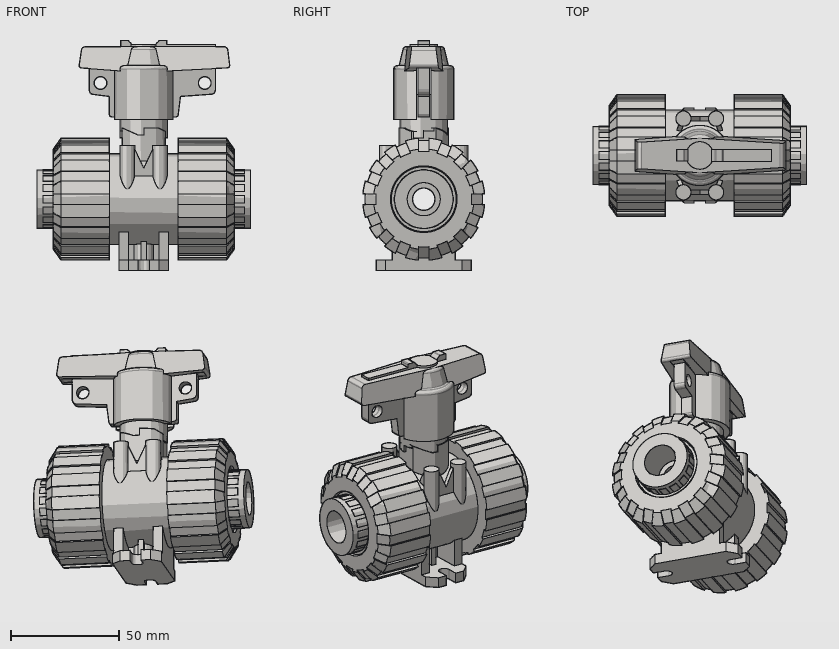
import cadquery as cq
import math


BIG = 212.3

BARREL_RADIUS = 21.0
BARREL_END = 31.9
FLOW_RADIUS = 5.1
CONNECTOR_BORE_RADIUS = 7.6
CONNECTOR_RADIUS = 13.5
CONNECTOR_END = 49.3
FLANGE_END = 37.2
SHOULDER_RADIUS = 15.0
SHOULDER_END = 40.8
RIB_HEIGHT = 0.16
RIB_END = 46.5
RIB_COUNT = 16
RIB_ANGLE = 15.0

NUT_START = 15.8
NUT_END = 41.8
NUT_CHAMFER_LENGTH = 3.6
NUT_CHAMFER_DEPTH = 5.1
NUT_RADIUS = 28.2
NUT_GROOVE_DEPTH = 1.1
NUT_GROOVE_WIDTH = 5.0
NUT_GROOVE_COUNT = 16
NUT_OPENING_RADIUS = 15.4

NECK_RADIUS = 11.5
NECK_FLAT = 10.0
NECK_TOP = 32.9
RAMP_BOTTOM = 29.7
RAMP_FOOT_X = 2.9
STOP_SHOULDER_X = 6.6
STOP_EDGE_Z = 31.3

POST_X = 7.5
POST_Y = 17.0
POST_RADIUS = 3.5
POST_TOP = 24.8
WEB_THICKNESS = 2.1
WEB_TOP = 22.8
WEB_NOTCH_Z = 14.3
GUSSET_LENGTH = 7.1
GUSSET_LEAN = 20.0

FOOT_BOTTOM = -32.9
FOOT_HEIGHT = 4.9
FOOT_HALF_X = 11.5
FOOT_HALF_Y = 22.0
FOOT_CORNER = 4.4
FOOT_SLOT_WIDTH = 5.2
FOOT_SLOT_CENTER_Y = 16.5
LEG_THICKNESS = 4.5
LEG_HALF_Y = 14.5
CROSS_RIB_THICKNESS = 2.4
CROSS_RIB_HALF_Y = 8.1
BOSS_RADIUS = 4.6

STEM_RADIUS = 11.0
STEM_BOTTOM = 28.3
STEM_NOTCH_Z = 31.5
STEM_TOP = 48.3
HUB_RADIUS = 13.9
HUB_BOTTOM = 36.7
HUB_TOP = 61.7
HUB_FILLET = 1.7
RIM_MARGIN = 0.1
HUB_SLOT_WIDTH = 6.5
HUB_SLOT_TOP = 60.5
CONE_BASE_RADIUS = 11.4
CONE_TOP_RADIUS = 9.3
CONE_FILLET = 1.7
CONE_BASE_FILLET = 0.7
BAR_TOP = 70.4
BAR_MIDDLE_BOTTOM = 59.1
BAR_END_BOTTOM = 60.6
BAR_BEND_X = 10.6
BAR_LEFT_TOP = -28.6
BAR_LEFT_BOTTOM = -30.3
BAR_RIGHT_TOP = 38.6
BAR_RIGHT_BOTTOM = 40.0
BAR_LEFT_HALF_WIDTH = 6.0
BAR_MIDDLE_HALF_WIDTH = 8.0
BAR_RIGHT_HALF_WIDTH = 5.5
BAR_SIDE_DRAFT = 1.5
BAR_END_FILLET = 1.9
BAR_UNDERSIDE_FILLET = 1.3
BLADE_THICKNESS = 5.3
BLADE_LEFT = -25.2
BLADE_RIGHT = 33.1
BLADE_EAR_BOTTOM = 48.5
BLADE_EAR_ROOT = 47.4
BLADE_BOTTOM = 37.9
BLADE_LEFT_ROOT = -15.9
BLADE_RIGHT_ROOT = 17.0
BLADE_RIGHT_FOOT = 15.8
BLADE_EAR_FILLET = 2.1
BLADE_FOOT_FILLET = 1.3
BLADE_HOLE_Z = 53.6
BLADE_HOLE_X = (-20.0, 28.1)
BLADE_HOLE_RADIUS = 2.9
DISK_RADIUS = 6.4
DISK_TOP = 71.5
STRIP_WIDTH = 5.5
TAB_TOP = 73.3
TAB_OUTER_X = 10.7
TAB_CREST_X = 7.2
TAB_FOOT_X = 5.4
TAB_FILLET = 0.4


def rod_x(radius, x_start, x_end):
    """Cylinder along the pipe axis."""
    return cq.Workplane("YZ", origin=(x_start, 0, 0)).circle(radius).extrude(x_end - x_start)


def rod_z(radius, z_start, z_end, x=0, y=0):
    """Upright cylinder."""
    return cq.Workplane("XY", origin=(x, y, z_start)).circle(radius).extrude(z_end - z_start)


def block(x_range, y_range, z_range):
    """Box given by its limits along each axis."""
    corner = (x_range[0], y_range[0], z_range[0])
    size = (x_range[1] - x_range[0], y_range[1] - y_range[0], z_range[1] - z_range[0])
    return cq.Workplane("XY", origin=corner).box(*size, centered=False)


def plate_xz(outline, thickness, y=0):
    """Plate with an outline in X and Z, centred on the given Y."""
    return cq.Workplane("XZ", origin=(0, y, 0)).polyline(outline).close().extrude(thickness / 2, both=True)


def half_turn(shape):
    return shape.rotate((0, 0, 0), (0, 0, 1), 180)



def make_neck():
    """Round neck with two flats and a top that forms a ramp and a stop on each half."""
    neck = rod_z(NECK_RADIUS, 0, NECK_TOP)
    neck = neck.intersect(block((-NECK_FLAT, NECK_FLAT), (-BIG, BIG), (0, NECK_TOP)))
    ramp_void = [(-NECK_FLAT, NECK_TOP), (-RAMP_FOOT_X, RAMP_BOTTOM), (0, RAMP_BOTTOM), (0, NECK_TOP)]
    edge_void = [(STOP_SHOULDER_X, NECK_TOP), (NECK_FLAT, STOP_EDGE_Z), (NECK_FLAT, NECK_TOP)]
    for outline in (ramp_void, edge_void):
        void = cq.Workplane("XZ").polyline(outline).close().extrude(NECK_RADIUS)
        neck = neck.cut(void).cut(half_turn(void))
    return neck


def make_posts():
    """Four posts, paired by a notched web, each with a small gusset leaning outwards."""
    posts = cq.Workplane("XY")
    notched_web = [(-POST_X, 0), (POST_X, 0), (POST_X, WEB_TOP), (POST_X - POST_RADIUS, WEB_TOP),
                   (0, WEB_NOTCH_Z), (POST_RADIUS - POST_X, WEB_TOP), (-POST_X, WEB_TOP)]
    gusset_slope = (WEB_TOP - WEB_NOTCH_Z) / (POST_X - POST_RADIUS)
    gusset_drop = gusset_slope * (GUSSET_LENGTH - POST_RADIUS)
    gusset = [(0, 0), (GUSSET_LENGTH, 0), (GUSSET_LENGTH, WEB_TOP - gusset_drop),
              (POST_RADIUS, WEB_TOP), (0, WEB_TOP)]
    for side_y in (-1, 1):
        posts = posts.union(plate_xz(notched_web, WEB_THICKNESS, side_y * POST_Y))
        for side_x in (-1, 1):
            angle = -side_y * (90 - side_x * GUSSET_LEAN)
            arm = plate_xz(gusset, WEB_THICKNESS).rotate((0, 0, 0), (0, 0, 1), angle)
            posts = posts.union(arm.translate((side_x * POST_X, side_y * POST_Y, 0)))
            posts = posts.union(rod_z(POST_RADIUS, 0, POST_TOP, side_x * POST_X, side_y * POST_Y))
    return posts


def make_foot():
    """Slotted base plate joined to the barrel by two legs, a cross rib and a boss."""
    plate_top = FOOT_BOTTOM + FOOT_HEIGHT
    foot = block((-FOOT_HALF_X, FOOT_HALF_X), (-FOOT_HALF_Y, FOOT_HALF_Y), (FOOT_BOTTOM, plate_top))
    foot = foot.edges("|Z").chamfer(FOOT_CORNER)
    half_slot = FOOT_SLOT_WIDTH / 2
    height = (FOOT_BOTTOM, 0)
    legs_span = (FOOT_HALF_X - LEG_THICKNESS, FOOT_HALF_X)
    half_rib = CROSS_RIB_THICKNESS / 2
    for side in (-1, 1):
        slot = rod_z(half_slot, FOOT_BOTTOM, plate_top, 0, side * FOOT_SLOT_CENTER_Y)
        slot_sides = sorted((side * FOOT_SLOT_CENTER_Y, side * FOOT_HALF_Y))
        slot = slot.union(block((-half_slot, half_slot), slot_sides, (FOOT_BOTTOM, plate_top)))
        foot = foot.cut(slot)
        leg_x = sorted(side * x for x in legs_span)
        foot = foot.union(block(leg_x, (-LEG_HALF_Y, LEG_HALF_Y), height))
    foot = foot.union(block((-FOOT_HALF_X, FOOT_HALF_X), (-half_rib, half_rib), height))
    foot = foot.union(block((-half_rib, half_rib), (-CROSS_RIB_HALF_Y, CROSS_RIB_HALF_Y), height))
    return foot.union(rod_z(BOSS_RADIUS, FOOT_BOTTOM, 0))


def make_valve_body():
    body = rod_x(BARREL_RADIUS, -BARREL_END, BARREL_END)
    body = body.union(make_neck()).union(make_posts()).union(make_foot())
    return body.cut(rod_x(FLOW_RADIUS, -BARREL_END, BARREL_END))



def nut_blank(radius):
    """Solid of revolution with the chamfered outer end."""
    profile = [(NUT_START, 0), (NUT_START, radius), (NUT_END - NUT_CHAMFER_LENGTH, radius),
               (NUT_END, radius - NUT_CHAMFER_DEPTH), (NUT_END, 0)]
    return cq.Workplane("XZ").polyline(profile).close().revolve(360, (0, 0, 0), (1, 0, 0))


def make_nut():
    """Nut on the +X side, with straight grip grooves around it."""
    half_width = NUT_GROOVE_WIDTH / 2
    teeth = nut_blank(NUT_RADIUS)
    groove = block((NUT_START, NUT_END), (-half_width, half_width), (NUT_OPENING_RADIUS, 2 * NUT_RADIUS))
    for index in range(NUT_GROOVE_COUNT):
        teeth = teeth.cut(groove.rotate((0, 0, 0), (1, 0, 0), index * 360 / NUT_GROOVE_COUNT))
    nut = teeth.union(nut_blank(NUT_RADIUS - NUT_GROOVE_DEPTH))
    nut = nut.cut(rod_x(BARREL_RADIUS, NUT_START, FLANGE_END))
    return nut.cut(rod_x(NUT_OPENING_RADIUS, FLANGE_END, NUT_END))



def make_connector():
    """Connector on the +X side: flange held by the nut, shoulder and ribbed neck."""
    ribs = rod_x(CONNECTOR_RADIUS + RIB_HEIGHT, FLANGE_END, RIB_END)
    pitch = 360 / RIB_COUNT
    half_gap = math.radians(pitch - RIB_ANGLE) / 2
    reach = 2 * CONNECTOR_RADIUS
    wedge = [(0, 0), (reach, -reach * math.tan(half_gap)), (reach, reach * math.tan(half_gap))]
    gap = cq.Workplane("YZ", origin=(FLANGE_END, 0, 0)).polyline(wedge).close().extrude(RIB_END - FLANGE_END)
    for index in range(RIB_COUNT):
        ribs = ribs.cut(gap.rotate((0, 0, 0), (1, 0, 0), (index + 0.5) * pitch))
    connector = rod_x(CONNECTOR_RADIUS, BARREL_END, CONNECTOR_END).union(ribs)
    connector = connector.union(rod_x(BARREL_RADIUS, BARREL_END, FLANGE_END))
    connector = connector.union(rod_x(SHOULDER_RADIUS, FLANGE_END, SHOULDER_END))
    return connector.cut(rod_x(CONNECTOR_BORE_RADIUS, BARREL_END, CONNECTOR_END))



def bar_outline(left, right, widening):
    """Six-sided plan of the bar, widest at the Z axis."""
    left_y = BAR_LEFT_HALF_WIDTH + widening
    middle_y = BAR_MIDDLE_HALF_WIDTH + widening
    right_y = BAR_RIGHT_HALF_WIDTH + widening
    front_side = [(left, -left_y), (0, -middle_y), (right, -right_y)]
    back_side = [(right, right_y), (0, middle_y), (left, left_y)]
    return front_side + back_side


def make_bar():
    """Tapered grip bar whose underside rises towards both ends."""
    bar = (
        cq.Workplane("XY", origin=(0, 0, BAR_MIDDLE_BOTTOM))
        .polyline(bar_outline(BAR_LEFT_BOTTOM, BAR_RIGHT_BOTTOM, BAR_SIDE_DRAFT)).close()
        .workplane(offset=BAR_TOP - BAR_MIDDLE_BOTTOM)
        .polyline(bar_outline(BAR_LEFT_TOP, BAR_RIGHT_TOP, 0)).close()
        .loft(ruled=True, combine=True)
    )
    for bend, end in ((-BAR_BEND_X, BAR_LEFT_BOTTOM), (BAR_BEND_X, BAR_RIGHT_BOTTOM)):
        under = [(bend, BAR_MIDDLE_BOTTOM), (end, BAR_MIDDLE_BOTTOM), (end, BAR_END_BOTTOM)]
        bar = bar.cut(plate_xz(under, BIG))
    bar = bar.faces(">Z").edges("|Y").fillet(BAR_END_FILLET)
    for end in (BAR_LEFT_BOTTOM, BAR_RIGHT_BOTTOM):
        bar = bar.edges(cq.NearestToPointSelector((end, 0, BAR_END_BOTTOM))).fillet(BAR_UNDERSIDE_FILLET)
    return bar


def make_hub():
    """Round hub with a rounded rim, carrying a filleted cone that fades into the bar."""
    hub = rod_z(HUB_RADIUS, HUB_BOTTOM, HUB_TOP)
    cone_profile = [(0, HUB_TOP), (CONE_BASE_RADIUS, HUB_TOP), (CONE_TOP_RADIUS, BAR_TOP), (0, BAR_TOP)]
    cone = cq.Workplane("XZ").polyline(cone_profile).close().revolve(360, (0, 0, 0), (0, 1, 0))
    hub = hub.union(cone)
    for radius, height, fillet in ((CONE_TOP_RADIUS, BAR_TOP, CONE_FILLET),
                                   (CONE_BASE_RADIUS, HUB_TOP, CONE_BASE_FILLET),
                                   (HUB_RADIUS, HUB_TOP, HUB_FILLET)):
        reach = radius + RIM_MARGIN
        low_corner = (-reach, -reach, height - RIM_MARGIN)
        high_corner = (reach, reach, height + RIM_MARGIN)
        rims = hub.edges(cq.selectors.BoxSelector(low_corner, high_corner, boundingbox=True)).edges("%CIRCLE")
        hub = rims.edges(cq.selectors.RadiusNthSelector(-1)).fillet(fillet)
    return hub


def make_blade():
    """Upright plate under the bar, with an eye in each ear."""
    left_ear = (BLADE_LEFT, BLADE_EAR_BOTTOM)
    right_ear = (BLADE_RIGHT, BLADE_EAR_BOTTOM)
    left_foot = (BLADE_LEFT_ROOT, BLADE_BOTTOM)
    right_foot = (BLADE_RIGHT_FOOT, BLADE_BOTTOM)
    outline = [(BLADE_LEFT, HUB_TOP), left_ear, (BLADE_LEFT_ROOT, BLADE_EAR_ROOT), left_foot,
               right_foot, (BLADE_RIGHT_ROOT, BLADE_EAR_ROOT), right_ear, (BLADE_RIGHT, HUB_TOP)]
    blade = plate_xz(outline, BLADE_THICKNESS)
    for corners, radius in (((left_ear, right_ear), BLADE_EAR_FILLET),
                            ((left_foot, right_foot), BLADE_FOOT_FILLET)):
        for x, z in corners:
            blade = blade.edges(cq.NearestToPointSelector((x, 0, z))).fillet(radius)
    for x in BLADE_HOLE_X:
        eye = cq.Workplane("XZ", origin=(x, 0, BLADE_HOLE_Z)).circle(BLADE_HOLE_RADIUS)
        blade = blade.cut(eye.extrude(BLADE_THICKNESS, both=True))
    return blade


def make_pointer():
    """Raised disk, pointer strip and two bevelled tabs on top of the bar."""
    pointer = rod_z(DISK_RADIUS, BAR_TOP, DISK_TOP)
    half_strip = STRIP_WIDTH / 2
    pointer = pointer.union(block((0, BLADE_RIGHT), (-half_strip, half_strip), (BAR_TOP, DISK_TOP)))
    tab_outline = [(TAB_FOOT_X, BAR_TOP), (TAB_OUTER_X, BAR_TOP), (TAB_OUTER_X, TAB_TOP),
                   (TAB_CREST_X, TAB_TOP), (TAB_FOOT_X, DISK_TOP)]
    right_tab = plate_xz(tab_outline, STRIP_WIDTH).faces(">Z").edges("|Y").fillet(TAB_FILLET)
    left_tab = half_turn(plate_xz(tab_outline, BLADE_THICKNESS).faces(">Z").edges("|Y").fillet(TAB_FILLET))
    return pointer.union(right_tab).union(left_tab)


def make_stem():
    """Stem that rests on the neck and drops past its flats to meet the stops."""
    stem = rod_z(STEM_RADIUS, STEM_BOTTOM, STEM_TOP)
    notch = block((-STEM_RADIUS, 0), (-STEM_RADIUS, 0), (STEM_BOTTOM, STEM_NOTCH_Z))
    notch = notch.intersect(block((-BIG, -NECK_FLAT), (-BIG, BIG), (0, BIG)))
    return stem.cut(notch).cut(half_turn(notch)).cut(make_neck())


def make_handle():
    half_slot = HUB_SLOT_WIDTH / 2
    slot = block((-BIG, BIG), (-half_slot, half_slot), (HUB_BOTTOM, HUB_SLOT_TOP))
    handle = make_bar().union(make_hub()).cut(slot)
    return handle.union(make_stem()).union(make_blade()).union(make_pointer())


valve_body = make_valve_body()
handle = make_handle()
right_nut = make_nut()
right_connector = make_connector()
nuts = [right_nut, half_turn(right_nut)]
connectors = [right_connector, half_turn(right_connector)]

result = cq.Compound.makeCompound(
    [valve_body.val(), handle.val(), *(nut.val() for nut in nuts), *(item.val() for item in connectors)]
)